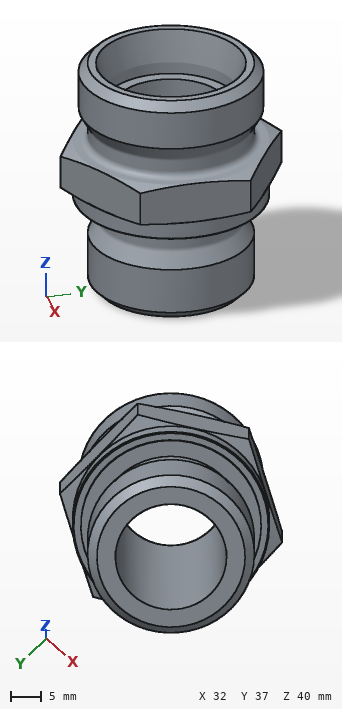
import cadquery as cq
import math

total_height = 40.0
hex_bottom = 19.0
hex_top = 26.0
flange_bottom = 16.0

across_flats = 32.0
hex_chamfer_angle = 15.0
hex_chamfer_start_radius = 31.9 / 2

tube_end_radius = 30.0 / 2
tube_neck_radius = 27.0 / 2
tube_end_chamfer = tube_end_radius - tube_neck_radius
tube_end_shoulder = 32.0
neck_root_fillet = 1.15

flange_radius = 31.9 / 2
flange_chamfer = 0.2
stud_neck_radius = 23.8 / 2
stud_radius = 27.0 / 2
stud_tip_radius = 24.0 / 2
stud_tip_chamfer = stud_radius - stud_tip_radius
stud_shoulder = 9.3

flank_angle = 30.0
flank_blend_radius = 1.2
flank_slope = math.tan(math.radians(flank_angle))
tube_flank_end = tube_end_shoulder - (tube_end_radius - tube_neck_radius) / flank_slope
stud_flank_end = stud_shoulder + (stud_radius - stud_neck_radius) / flank_slope
blend_length = flank_blend_radius * math.tan(math.radians(flank_angle / 2))

bore_radius = 18.0 / 2
socket_radius = 22.0 / 2
socket_depth = 7.5
cone_mouth_radius = 24.3 / 2
cone_half_angle = 12.0
cone_depth = (cone_mouth_radius - socket_radius) / math.tan(math.radians(cone_half_angle))

seal_outer_radius = 29.2 / 2
seal_protrusion = 0.3
seal_groove_depth = 1.2
seal_bottom = flange_bottom - seal_protrusion
seal_top = flange_bottom + seal_groove_depth


def revolve_about_z(profile):
    """Revolve a closed XZ profile (radius, height) a full turn about Z."""
    return profile.close().revolve(360, (0, 0, 0), (0, 1, 0))


def blend_points(neck_radius, flank_end, flank_direction):
    """Start, middle and end of the arc joining a flank to its neck.

    flank_direction is +1 when the flank lies above the neck and -1 when below.
    """
    def arc_point(angle):
        turn = math.radians(angle)
        radius = neck_radius + flank_blend_radius * (1 - math.cos(turn))
        rise = flank_blend_radius * math.sin(turn) - blend_length
        return radius, flank_end + flank_direction * rise

    return [arc_point(angle) for angle in (0, flank_angle / 2, flank_angle)]


def make_stud_end():
    neck_start, blend_middle, flank_start = blend_points(stud_neck_radius, stud_flank_end, -1)
    return revolve_about_z(
        cq.Workplane("XZ")
        .moveTo(0, 0)
        .lineTo(stud_tip_radius, 0)
        .lineTo(stud_radius, stud_tip_chamfer)
        .lineTo(stud_radius, stud_shoulder)
        .lineTo(*flank_start)
        .threePointArc(blend_middle, neck_start)
        .lineTo(stud_neck_radius, flange_bottom)
        .lineTo(flange_radius - flange_chamfer, flange_bottom)
        .lineTo(flange_radius, flange_bottom + flange_chamfer)
        .lineTo(flange_radius, hex_bottom)
        .lineTo(0, hex_bottom)
    )


def make_tube_end():
    neck_end, blend_middle, flank_start = blend_points(tube_neck_radius, tube_flank_end, 1)
    root_middle = neck_root_fillet * (1 - math.sqrt(0.5))
    return revolve_about_z(
        cq.Workplane("XZ")
        .moveTo(0, hex_top)
        .lineTo(tube_neck_radius + neck_root_fillet, hex_top)
        .threePointArc(
            (tube_neck_radius + root_middle, hex_top + root_middle),
            (tube_neck_radius, hex_top + neck_root_fillet),
        )
        .lineTo(*neck_end)
        .threePointArc(blend_middle, flank_start)
        .lineTo(tube_end_radius, tube_end_shoulder)
        .lineTo(tube_end_radius, total_height - tube_end_chamfer)
        .lineTo(tube_end_radius - tube_end_chamfer, total_height)
        .lineTo(0, total_height)
    )


def make_hexagon():
    """Hexagon with corners on +Y and -Y, chamfered at both faces."""
    corner_radius = across_flats / math.sqrt(3)
    prism = (
        cq.Workplane("XY", origin=(0, 0, hex_bottom))
        .polygon(6, 2 * corner_radius)
        .extrude(hex_top - hex_bottom)
        .rotate((0, 0, 0), (0, 0, 1), 90)
    )
    envelope_radius = corner_radius + 0.4
    chamfer_drop = (envelope_radius - hex_chamfer_start_radius) * math.tan(math.radians(hex_chamfer_angle))
    envelope = revolve_about_z(
        cq.Workplane("XZ")
        .moveTo(0, hex_bottom)
        .lineTo(hex_chamfer_start_radius, hex_bottom)
        .lineTo(envelope_radius, hex_bottom + chamfer_drop)
        .lineTo(envelope_radius, hex_top - chamfer_drop)
        .lineTo(hex_chamfer_start_radius, hex_top)
        .lineTo(0, hex_top)
    )
    return prism.intersect(envelope)


def make_passage():
    return revolve_about_z(
        cq.Workplane("XZ")
        .moveTo(0, 0)
        .lineTo(bore_radius, 0)
        .lineTo(bore_radius, total_height - socket_depth)
        .lineTo(socket_radius, total_height - socket_depth)
        .lineTo(socket_radius, total_height - cone_depth)
        .lineTo(cone_mouth_radius, total_height)
        .lineTo(0, total_height)
    )


def make_seal_ring():
    return (
        cq.Workplane("XY", origin=(0, 0, seal_bottom))
        .circle(seal_outer_radius)
        .circle(stud_neck_radius)
        .extrude(seal_top - seal_bottom)
    )


def make_fitting(seal):
    """Fitting body, with a groove in the flange underside that fits the seal ring."""
    outside = make_stud_end().union(make_hexagon()).union(make_tube_end())
    return outside.cut(make_passage()).cut(seal)


seal_ring = make_seal_ring()
fitting = make_fitting(seal_ring)

result = cq.Compound.makeCompound([fitting.solids().val(), seal_ring.val()])